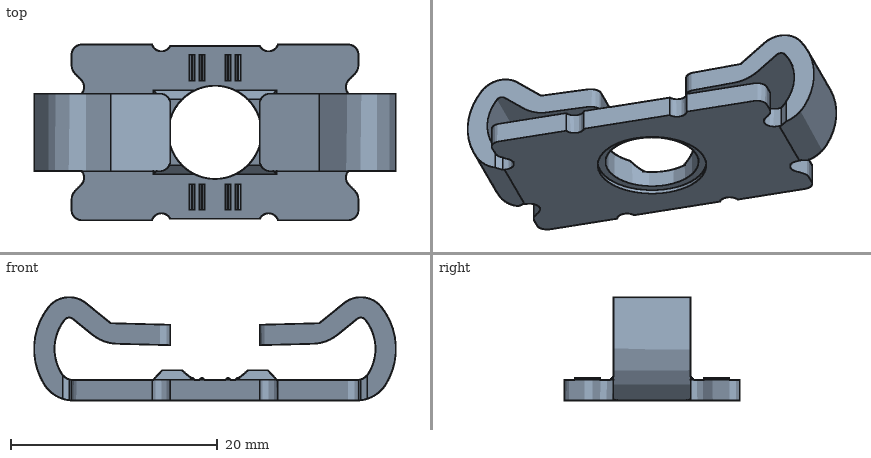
import cadquery as cq
import math

length = 35.0
height = 10.0
thickness = 2.0

plate_length = 27.75
plate_width = 17.0
corner_radius = 1.0
waist_step = 0.15

notch_x = 5.18
notch_radius = 0.95
notch_depth = 0.65

relief_radius = 1.0
relief_x = 13.68
relief_y = 4.37
relief_start_x = 14.7
relief_flat_x = 14.05
relief_mouth_radius = 1.25
relief_height = 3.5

strip_width = 7.5
bottom_bend_radius = 3.32
side_bend_radius = 6.5
side_bend_z = height / 2
top_bend_radius = 2.55
ramp_angle = math.radians(39)
lip_angle = math.radians(1.5)
lip_bend_x = 10.08
lip_bend_radius = 4.0
lip_end_x = 4.3
lip_corner_radius = 1.0
strip_root_x = 10.5

hole_diameter = 9.0
recess_diameter = 10.5
recess_depth = 0.4
pad_length = 11.95
pad_width = 8.12
pad_height = 0.95
pad_inset = 0.87

ridge_positions = (1.25, 2.2)
ridge_base = 0.52
ridge_crest = 0.1
ridge_height = 0.2
ridge_inner_y = 5.0
ridge_outer_y = 7.5


def on_both_ends(shape):
    """The shape together with its mirror image in X."""
    return shape.union(shape.mirror("YZ"))


def on_four_corners(shape):
    """The shape repeated in all four quadrants of the plan."""
    return on_both_ends(shape.union(shape.mirror("XZ")))


def along(point, angle, distance):
    """The point reached from another by going a distance at an angle."""
    return (point[0] + distance * math.cos(angle), point[1] + distance * math.sin(angle))


def base_plate():
    plate = (
        cq.Workplane("XY")
        .rect(plate_length, plate_width)
        .extrude(thickness)
        .edges("|Z")
        .fillet(corner_radius)
    )
    for side in (1, -1):
        trim = cq.Workplane("XY").box(2 * notch_x, 2 * waist_step, height)
        plate = plate.cut(trim.translate((0, side * plate_width / 2, 0)))
    return plate


def edge_notch():
    centre_y = plate_width / 2 - notch_depth + notch_radius
    return cq.Workplane("XY").center(notch_x, centre_y).circle(notch_radius).extrude(thickness)


def left_hook():
    """C-shaped strip at the -X end, with its lip reaching back over the plate."""
    side_x = side_bend_radius - length / 2
    top_z = height - top_bend_radius
    bottom_z = bottom_bend_radius
    bottom_x = side_x - math.sqrt(
        (side_bend_radius - bottom_bend_radius) ** 2 - (side_bend_z - bottom_z) ** 2
    )
    top_x = side_x - math.sqrt(
        (side_bend_radius - top_bend_radius) ** 2 - (side_bend_z - top_z) ** 2
    )
    to_bottom = math.atan2(bottom_z - side_bend_z, bottom_x - side_x)
    to_top = math.atan2(top_z - side_bend_z, top_x - side_x)
    ramp_normal = math.pi / 2 - ramp_angle
    lip_normal = math.pi / 2 - lip_angle

    def bend_ends(depth):
        """Ends of the bend arcs, from the plate up to the ramp, at a depth below the outer face."""
        return [
            along((bottom_x, bottom_z), to_bottom, bottom_bend_radius - depth),
            along((side_x, side_bend_z), to_top, side_bend_radius - depth),
            along((top_x, top_z), ramp_normal, top_bend_radius - depth),
        ]

    outer = bend_ends(0)
    inner = bend_ends(thickness)

    ramp_top = outer[2]
    ramp_run = -lip_bend_x - ramp_top[0]
    upper_crease = (-lip_bend_x, ramp_top[1] - ramp_run * math.tan(ramp_angle))
    lip_drop = (lip_bend_x - lip_end_x) * math.tan(lip_angle)
    upper_tip = (-lip_end_x, upper_crease[1] - lip_drop)
    lower_tip = (-lip_end_x, upper_tip[1] - thickness / math.cos(lip_angle))

    half_turn = (ramp_angle - lip_angle) / 2
    lower_corner = along(upper_crease, (ramp_normal + lip_normal) / 2, -thickness / math.cos(half_turn))
    tangent_length = lip_bend_radius * math.tan(half_turn)
    lower_lip_start = along(lower_corner, -lip_angle, tangent_length)
    lower_ramp_end = along(lower_corner, -ramp_angle, -tangent_length)

    profile = (
        cq.Workplane("XZ")
        .moveTo(-strip_root_x, 0)
        .lineTo(bottom_x, 0)
        .tangentArcPoint(outer[0], relative=False)
        .tangentArcPoint(outer[1], relative=False)
        .tangentArcPoint(outer[2], relative=False)
        .lineTo(*upper_crease)
        .lineTo(*upper_tip)
        .lineTo(*lower_tip)
        .lineTo(*lower_lip_start)
        .tangentArcPoint(lower_ramp_end, relative=False)
        .lineTo(*inner[2])
        .tangentArcPoint(inner[1], relative=False)
        .tangentArcPoint(inner[0], relative=False)
        .tangentArcPoint((bottom_x, thickness), relative=False)
        .lineTo(-strip_root_x, thickness)
        .close()
    )
    hook = profile.extrude(strip_width / 2, both=True)
    return hook.edges("|Z and >X").fillet(lip_corner_radius)


def root_relief():
    """Cutter between the -X hook and the +Y corner of the plate."""
    slope = math.radians(45)
    arc_end = along((-relief_x, relief_y), slope, relief_radius)
    edge_x = -plate_length / 2
    mouth_y = arc_end[1] + arc_end[0] - edge_x
    mouth_tangent = relief_mouth_radius * math.tan(slope / 2)
    mouth_start = along((edge_x, mouth_y), -slope, mouth_tangent)
    mouth_end = (edge_x, mouth_y + mouth_tangent)
    flat_y = relief_y - relief_radius
    return (
        cq.Workplane("XY")
        .moveTo(-relief_start_x, strip_width / 2)
        .lineTo(-relief_flat_x, flat_y)
        .lineTo(-relief_x, flat_y)
        .tangentArcPoint(arc_end, relative=False)
        .lineTo(*mouth_start)
        .tangentArcPoint(mouth_end, relative=False)
        .lineTo(-relief_start_x, mouth_end[1])
        .close()
        .extrude(relief_height)
    )


def raised_pad():
    taper = math.degrees(math.atan2(pad_inset, pad_height))
    return (
        cq.Workplane("XY")
        .workplane(offset=thickness)
        .rect(pad_length, pad_width)
        .extrude(pad_height, taper=taper)
    )


def ridge(x):
    """Low bar across the plate with sloping flanks and a narrow flat crest."""
    return (
        cq.Workplane("XZ", origin=(x, ridge_inner_y, thickness))
        .moveTo(-ridge_base / 2, 0)
        .lineTo(-ridge_crest / 2, ridge_height)
        .lineTo(ridge_crest / 2, ridge_height)
        .lineTo(ridge_base / 2, 0)
        .close()
        .extrude(ridge_inner_y - ridge_outer_y)
    )


def central_hole():
    """Hole through the plate and its pad, counterbored from below."""
    bore = cq.Workplane("XY").circle(hole_diameter / 2).extrude(thickness + pad_height)
    recess = cq.Workplane("XY").circle(recess_diameter / 2).extrude(recess_depth)
    return bore.union(recess)


body = base_plate().cut(on_four_corners(edge_notch()))
body = body.union(on_both_ends(left_hook()))
body = body.cut(on_four_corners(root_relief()))
body = body.union(raised_pad())
for ridge_x in ridge_positions:
    body = body.union(on_four_corners(ridge(ridge_x)))
result = body.cut(central_hole())